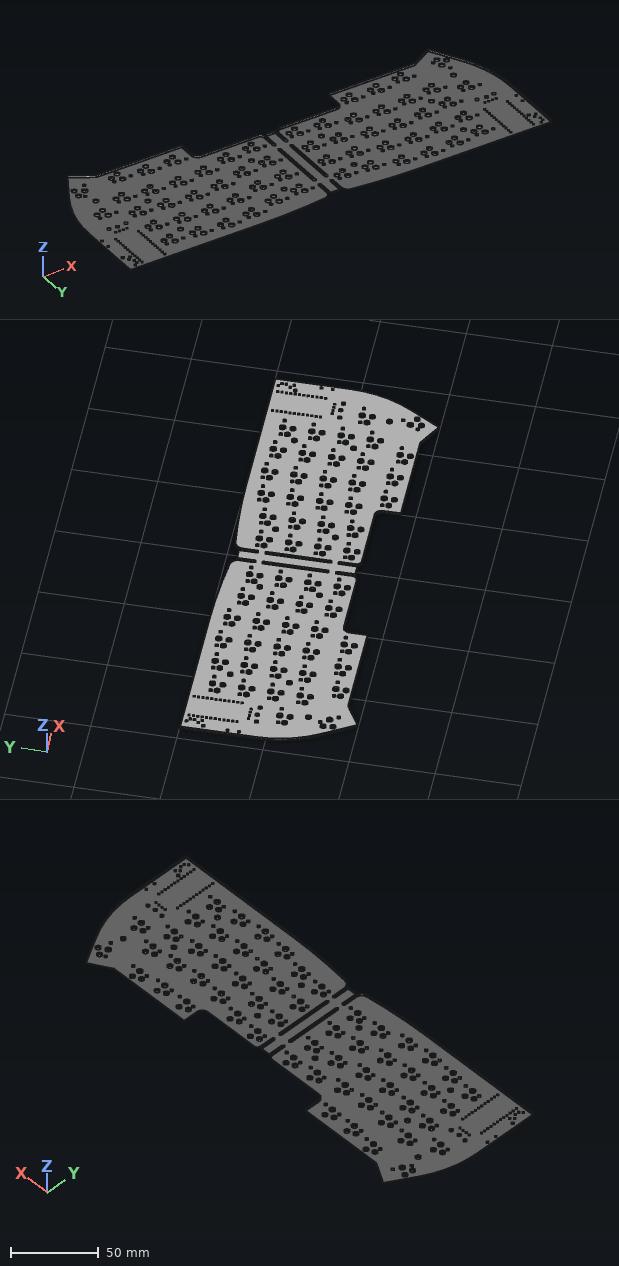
import cadquery as cq
import math

LENGTH = 284.3
THICKNESS = 1.6
HALF_LENGTH = LENGTH / 2
DEPTH = 99.2

INNER_EDGE_X = 4.8
TOP_ARC_START_X = 54.3
TOP_ARC_RADIUS = 364.0
TOP_CORNER_RADIUS = 4.8
INNER_BOTTOM_Y = -76.5
BOTTOM_CORNER_RADIUS = 2.8
STEP_X = 49.8
STEP_RADIUS = 4.3
THUMB_BOTTOM_Y = -91.0
TIP_X = 121.7
THUMB_ANGLE = 60.0
SIDE_ARC_RADIUS = 72.8

STRIP_HALF_WIDTH = 3.0
STRIP_TOP_Y = -6.0
STRIP_BOTTOM_Y = -74.8
BRIDGE_HEIGHT = 4.0
UPPER_BRIDGE_Y = -19.0
LOWER_BRIDGE_Y = -61.7

KEY_COLUMNS = 6
KEY_ROWS = 4
KEY_PITCH_X = 108.0 / KEY_COLUMNS
KEY_PITCH_Y = 51.0 / (KEY_ROWS - 1)
INNER_COLUMN_X = 29.3 / 2
FIRST_ROW_Y = (-15.5, -14.2, -9.7, -8.2, -9.7, -11.7)
SIDE_KEY_Y = -54.3
INNER_THUMB_KEY_X = 59.7
THUMB_KEY_Y = (-79.3, -79.3, -81.5)
TURNED_KEY = (120.5, -82.7)
STEM_DIAMETER = 3.5
PEG_DIAMETER = 1.7
PEG_OFFSET = 11.0 / 2
PIN_DIAMETER = 3.0
PIN_OFFSETS = ((0.0, -6.0), (-5.0, -3.7))

HEADER_PITCH = 2.53
HEADER_PINS = 12
HEADER_DIAMETER = 1.0
HEADER_ROWS_X = (117.0, 132.2)
HEADER_TOP_Y = -3.5
DISPLAY_PINS = 4
DISPLAY_DIAMETER = 1.0
DISPLAY_FIRST_X = 120.8
DISPLAY_Y = -37.2
MOUNT_DIAMETER = 3.0
MOUNT_POINTS = ((23.5, -23.3), (23.5, -58.0), (95.5, -20.2), (95.8, -54.5), (120.8, -70.5))
SWITCH_DIAMETER = 2.1
SWITCH_POINTS = ((118.5, -42.0), (124.5, -41.5), (130.0, -42.0))
EDGE_HOLE_DIAMETER = 1.3
EDGE_HOLES = ((140.0, -27.3), (140.0, -33.8))
JACK_X = 137.0
JACK_PIN_DIAMETER = 1.2
JACK_PINS = ((0.0, -2.8), (2.0, -4.5), (2.0, -7.0), (0.0, -9.7), (2.0, -11.7))
JACK_PEG_DIAMETER = 1.7
JACK_PEG = (-2.0, -13.0)


def top_arc_point(x):
    """Point of the arc that lowers the top edge towards the strip."""
    run = TOP_ARC_START_X - x
    return (x, math.sqrt(TOP_ARC_RADIUS**2 - run**2) - TOP_ARC_RADIUS)


def round_corner(body, x, y, radius):
    """Fillet the upright edge at (x, y)."""
    reach = THICKNESS / 2
    box = cq.selectors.BoxSelector((x - reach, y - reach, 0), (x + reach, y + reach, THICKNESS))
    return body.edges("|Z").edges(box).fillet(radius)


def right_half_plate():
    """Right half of the plate, still without holes."""
    lean = math.radians(THUMB_ANGLE)
    meet_y = -DEPTH + (HALF_LENGTH - TIP_X) * math.tan(lean)
    turn = math.pi / 2 - lean
    tangent = SIDE_ARC_RADIUS * math.tan(turn / 2)
    arc_start = (HALF_LENGTH - tangent * math.cos(lean), meet_y - tangent * math.sin(lean))
    arc_end = (HALF_LENGTH, meet_y + tangent)
    arc_middle = (
        HALF_LENGTH - SIDE_ARC_RADIUS * (1 - math.cos(turn / 2)),
        arc_end[1] - SIDE_ARC_RADIUS * math.sin(turn / 2),
    )
    thumb_corner_x = TIP_X - (THUMB_BOTTOM_Y + DEPTH) * math.tan(lean)

    plate = (
        cq.Workplane("XY")
        .moveTo(HALF_LENGTH, 0)
        .lineTo(TOP_ARC_START_X, 0)
        .threePointArc(
            top_arc_point((TOP_ARC_START_X + INNER_EDGE_X) / 2),
            top_arc_point(INNER_EDGE_X),
        )
        .lineTo(INNER_EDGE_X, INNER_BOTTOM_Y)
        .lineTo(STEP_X, INNER_BOTTOM_Y)
        .lineTo(STEP_X, THUMB_BOTTOM_Y)
        .lineTo(thumb_corner_x, THUMB_BOTTOM_Y)
        .lineTo(TIP_X, -DEPTH)
        .lineTo(*arc_start)
        .threePointArc(arc_middle, arc_end)
        .close()
        .extrude(THICKNESS)
    )
    plate = round_corner(plate, *top_arc_point(INNER_EDGE_X), TOP_CORNER_RADIUS)
    plate = round_corner(plate, INNER_EDGE_X, INNER_BOTTOM_Y, BOTTOM_CORNER_RADIUS)
    return round_corner(plate, STEP_X, INNER_BOTTOM_Y, STEP_RADIUS)


def both_sides(points):
    """Mirror points to both halves."""
    return [(side * x, y) for side in (-1, 1) for x, y in points]


def break_off_strip():
    """Centre strip and its bridges: one wide panel with round-ended slots along both sides."""
    panel = (
        cq.Workplane("XY")
        .center(0, (STRIP_TOP_Y + STRIP_BOTTOM_Y) / 2)
        .rect(2 * INNER_EDGE_X, STRIP_TOP_Y - STRIP_BOTTOM_Y)
        .extrude(THICKNESS)
    )
    slot_width = INNER_EDGE_X - STRIP_HALF_WIDTH
    slot_x = (INNER_EDGE_X + STRIP_HALF_WIDTH) / 2
    half_bridge = BRIDGE_HEIGHT / 2
    slot_ends = (
        (STRIP_TOP_Y + slot_width, UPPER_BRIDGE_Y + half_bridge),
        (UPPER_BRIDGE_Y - half_bridge, LOWER_BRIDGE_Y + half_bridge),
        (LOWER_BRIDGE_Y - half_bridge, STRIP_BOTTOM_Y - slot_width),
    )
    for top_y, bottom_y in slot_ends:
        slots = (
            cq.Workplane("XY")
            .pushPoints(both_sides([(slot_x, (top_y + bottom_y) / 2)]))
            .slot2D(top_y - bottom_y, slot_width, 90)
            .extrude(THICKNESS)
        )
        panel = panel.cut(slots)
    return panel


def key_positions():
    """Every key as (x, y, turn in degrees)."""
    points = []
    for column, first_y in enumerate(FIRST_ROW_Y):
        x = INNER_COLUMN_X + column * KEY_PITCH_X
        points += [(x, first_y - row * KEY_PITCH_Y) for row in range(KEY_ROWS)]
    points.append((INNER_COLUMN_X + KEY_COLUMNS * KEY_PITCH_X, SIDE_KEY_Y))
    points += [(INNER_THUMB_KEY_X + i * KEY_PITCH_X, y) for i, y in enumerate(THUMB_KEY_Y)]
    keys = [(x, y, 0.0) for x, y in both_sides(points)]
    x, y = TURNED_KEY
    return keys + [(-x, y, -THUMB_ANGLE), (x, y, THUMB_ANGLE)]


def key_points(offsets):
    """Place the same hole offsets at every key; they are turned with the key, not mirrored."""
    points = []
    for x, y, degrees in key_positions():
        c = math.cos(math.radians(degrees))
        s = math.sin(math.radians(degrees))
        points += [(x + c * dx - s * dy, y + s * dx + c * dy) for dx, dy in offsets]
    return points


def header_points():
    """Two straight pin rows of the controller."""
    return [
        (x, HEADER_TOP_Y - pin * HEADER_PITCH) for x in HEADER_ROWS_X for pin in range(HEADER_PINS)
    ]


def display_points():
    """Pin row of the display."""
    return [(DISPLAY_FIRST_X + pin * HEADER_PITCH, DISPLAY_Y) for pin in range(DISPLAY_PINS)]


def jack_points(offsets):
    """The audio jack faces the same way on both halves."""
    return [(side * JACK_X + dx, y) for side in (-1, 1) for dx, y in offsets]


hole_groups = [
    (STEM_DIAMETER, key_points([(0.0, 0.0)])),
    (PEG_DIAMETER, key_points([(-PEG_OFFSET, 0.0), (PEG_OFFSET, 0.0)])),
    (PIN_DIAMETER, key_points(PIN_OFFSETS)),
    (HEADER_DIAMETER, both_sides(header_points())),
    (DISPLAY_DIAMETER, both_sides(display_points())),
    (MOUNT_DIAMETER, both_sides(MOUNT_POINTS)),
    (SWITCH_DIAMETER, both_sides(SWITCH_POINTS)),
    (EDGE_HOLE_DIAMETER, both_sides(EDGE_HOLES)),
    (JACK_PIN_DIAMETER, jack_points(JACK_PINS)),
    (JACK_PEG_DIAMETER, jack_points([JACK_PEG])),
]

right_half = right_half_plate()
plate = right_half.union(right_half.mirror("YZ")).union(break_off_strip())

drills = []
for diameter, points in hole_groups:
    drills += cq.Workplane("XY").pushPoints(points).circle(diameter / 2).extrude(THICKNESS).vals()
result = plate.cut(cq.Compound.makeCompound(drills))